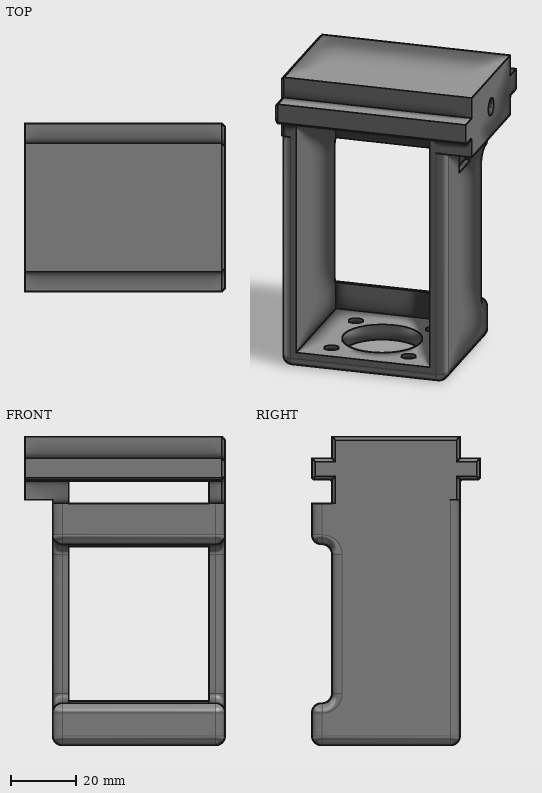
import cadquery as cq

LENGTH = 61.5
WIDTH = 51.7
HEIGHT = 94.8

FLANGE_REACH = 6.2
BLOCK_FRONT = FLANGE_REACH
BLOCK_BACK = WIDTH - FLANGE_REACH
BLOCK_BOTTOM = 75.4
FLANGE_TOP = 88.2
FLANGE_BOTTOM = 81.6
FLANGE_CHAMFER = 0.6
END_CHAMFER = 1.0
SCREW_HOLE_DIAMETER = 5.5
SCREW_HOLE_DEPTH = 19.0
SCREW_HOLE_Y = WIDTH / 2
SCREW_HOLE_Z = (FLANGE_TOP + FLANGE_BOTTOM) / 2

CAGE_START = 8.5
WALL = 5.0
EDGE_RADIUS = 3.0
CAVITY_TOP = FLANGE_BOTTOM - FLANGE_CHAMFER
BAR_TOP = 74.3
NOTCH_TOP = 61.7
NOTCH_BOTTOM = 13.0

FLOOR_CENTRE_X = (CAGE_START + LENGTH) / 2
FLOOR_CENTRE_Y = (BLOCK_FRONT + BLOCK_BACK) / 2
BORE_DIAMETER = 24.65
MOUNT_HOLE_DIAMETER = 4.5
MOUNT_HOLE_SPACING = 24.8

RECESS_WIDTH = 10.9
RECESS_BOTTOM = 64.3
RECESS_DEPTH = 1.0


def box(x_range, y_range, z_range):
    """Box spanning the given (low, high) ranges."""
    (x0, x1), (y0, y1), (z0, z1) = x_range, y_range, z_range
    return cq.Workplane("XY").box(x1 - x0, y1 - y0, z1 - z0, centered=False).translate((x0, y0, z0))


def sliding_block():
    """T-shaped block: flanges on both sides, bevelled +X end, blind screw hole in the -X end."""
    outline = [
        (BLOCK_FRONT, BLOCK_BOTTOM),
        (BLOCK_FRONT, FLANGE_BOTTOM),
        (0, FLANGE_BOTTOM),
        (0, FLANGE_TOP),
        (BLOCK_FRONT, FLANGE_TOP),
        (BLOCK_FRONT, HEIGHT),
        (BLOCK_BACK, HEIGHT),
        (BLOCK_BACK, FLANGE_TOP),
        (WIDTH, FLANGE_TOP),
        (WIDTH, FLANGE_BOTTOM),
        (BLOCK_BACK, FLANGE_BOTTOM),
        (BLOCK_BACK, BLOCK_BOTTOM),
    ]
    block = cq.Workplane("YZ").polyline(outline).close().extrude(LENGTH)
    block = block.faces(">X").edges("not <Z").chamfer(END_CHAMFER)
    for y in (0, BLOCK_FRONT, BLOCK_BACK, WIDTH):
        lower_edge = cq.selectors.NearestToPointSelector((LENGTH / 2, y, FLANGE_BOTTOM))
        block = block.edges(lower_edge).chamfer(FLANGE_CHAMFER)
    screw_hole = (
        cq.Workplane("YZ")
        .center(SCREW_HOLE_Y, SCREW_HOLE_Z)
        .circle(SCREW_HOLE_DIAMETER / 2)
        .extrude(SCREW_HOLE_DEPTH)
    )
    return block.cut(screw_hole)


def cage_shell():
    """Solid cage body with the notched front and all outer edges rounded."""
    cage = box((CAGE_START, LENGTH), (0, BLOCK_BACK), (0, BLOCK_BOTTOM))
    notch = box((CAGE_START, LENGTH), (0, BLOCK_FRONT), (NOTCH_BOTTOM, NOTCH_TOP))
    cage = cage.cut(notch)
    for z in (NOTCH_BOTTOM, NOTCH_TOP):
        for y in (0, BLOCK_FRONT):
            cage = cage.edges(cq.selectors.NearestToPointSelector((FLOOR_CENTRE_X, y, z))).fillet(EDGE_RADIUS)
    side_edges = cage.faces("<X or >X").edges("not >Z")
    bottom_edges = cage.faces("<Z").edges("|X")
    return cage.newObject(side_edges.vals() + bottom_edges.vals()).fillet(EDGE_RADIUS)


def cavity():
    """Space inside the cage, open to the back and reaching up into the block."""
    return box((CAGE_START + WALL, LENGTH - WALL), (WALL, WIDTH), (WALL, CAVITY_TOP))


def bar_clearance():
    """Step that leaves the upper front bar lower than the underside of the block."""
    return box((CAGE_START, LENGTH), (0, BLOCK_FRONT), (BAR_TOP, BLOCK_BOTTOM))


def floor_holes():
    """Central bore and the four mounting holes around it, all through the floor."""
    centre = cq.Workplane("XY").center(FLOOR_CENTRE_X, FLOOR_CENTRE_Y)
    bore = centre.circle(BORE_DIAMETER / 2).extrude(WALL)
    mounts = (
        centre.rect(MOUNT_HOLE_SPACING, MOUNT_HOLE_SPACING, forConstruction=True)
        .vertices()
        .circle(MOUNT_HOLE_DIAMETER / 2)
        .extrude(WALL)
    )
    return bore.union(mounts)


def wall_recess():
    """Recess tapering inward at 45 degrees, running up to the underside of the block."""
    half = RECESS_WIDTH / 2
    floor_half = half - RECESS_DEPTH
    trough = (
        cq.Workplane("XY", origin=(CAGE_START, SCREW_HOLE_Y, RECESS_BOTTOM))
        .polyline([(0, -half), (RECESS_DEPTH, -floor_half), (RECESS_DEPTH, floor_half), (0, half)])
        .close()
        .extrude(BLOCK_BOTTOM - RECESS_BOTTOM)
    )
    lower_end = (
        cq.Workplane("XZ", origin=(CAGE_START, SCREW_HOLE_Y + half, RECESS_BOTTOM))
        .polyline([(0, 0), (RECESS_DEPTH, 0), (RECESS_DEPTH, RECESS_DEPTH)])
        .close()
        .extrude(RECESS_WIDTH)
    )
    return trough.cut(lower_end)


cage = cage_shell().cut(bar_clearance())
exposed_corner = cq.selectors.NearestToPointSelector((LENGTH, BLOCK_FRONT, (BAR_TOP + BLOCK_BOTTOM) / 2))
cage = cage.edges(exposed_corner).chamfer(END_CHAMFER)

result = cage.cut(wall_recess()).union(sliding_block()).cut(cavity()).cut(floor_holes())